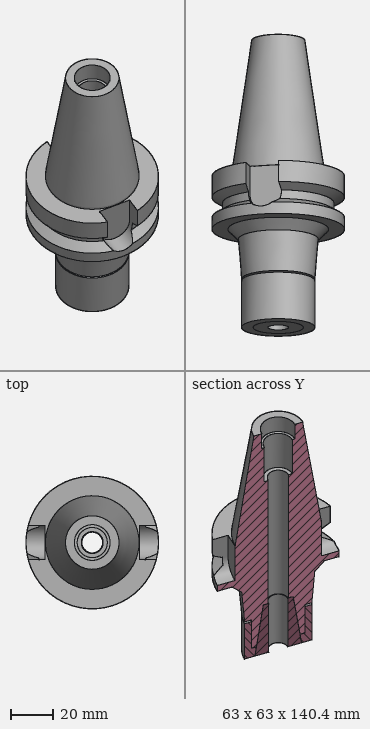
import cadquery as cq
import math


TOTAL_HEIGHT = 140.4
GAUGE_Z = 75.0
FLANGE_TOP_Z = 74.0
FLANGE_BOTTOM_Z = 48.0

GAUGE_RADIUS = 44.5 / 2
TAPER_RATIO = 7 / 24
SHANK_END_RADIUS = GAUGE_RADIUS - (TOTAL_HEIGHT - GAUGE_Z) * TAPER_RATIO / 2

FLANGE_RADIUS = 63.0 / 2
GROOVE_RADIUS = 53.1 / 2
GROOVE_FLOOR_TOP_Z = 60.8
GROOVE_FLOOR_BOTTOM_Z = 56.6
GROOVE_FLANK_ANGLE = 30.0
GROOVE_FLANK_HEIGHT = (FLANGE_RADIUS - GROOVE_RADIUS) * math.tan(math.radians(GROOVE_FLANK_ANGLE))

SLOT_WIDTH = 16.1
SLOT_FLOOR_DISTANCE = 22.5
SLOT_BOTTOM_Z = 52.0

FLARE_SIZE = 4.9
BODY_TOP_RADIUS = 38.0 / 2
BODY_TOP_Z = FLANGE_BOTTOM_Z - FLARE_SIZE
BODY_BOTTOM_Z = 23.6

NUT_RADIUS = 35.0 / 2
NUT_HEIGHT = 22.7
NUT_FACE_THICKNESS = 5.6
NOSE_RADIUS = 13.9

COLLET_HEIGHT = 30.9
COLLET_FACE_RADIUS = 12.0
COLLET_HALF_ANGLE = 8.0
COLLET_BORE_RADIUS = 4.9
COLLET_END_RADIUS = COLLET_FACE_RADIUS - COLLET_HEIGHT * math.tan(math.radians(COLLET_HALF_ANGLE))

COUNTERBORE_RADIUS = 17.0 / 2
COUNTERBORE_DEPTH = 9.3
PULL_STUD_RADIUS = 14.3 / 2
PULL_STUD_DEPTH = 30.9
THROUGH_RADIUS = 5.2


def revolve_profile(points):
    """Solid of revolution about Z from (radius, height) points."""
    return cq.Workplane("XZ").polyline(points).close().revolve(360, (0, 0, 0), (0, 1, 0))


def make_cylinder(radius, bottom_z, top_z):
    """Cylinder on the Z axis between two heights."""
    return cq.Workplane("XY").workplane(offset=bottom_z).circle(radius).extrude(top_z - bottom_z)


def make_collet_cone():
    """Outer cone of the collet, also the seat that holder and nut have for it."""
    return revolve_profile([
        (0, 0),
        (COLLET_FACE_RADIUS, 0),
        (COLLET_END_RADIUS, COLLET_HEIGHT),
        (0, COLLET_HEIGHT),
    ])


def make_drive_slot(side):
    """Cutter for a round-bottomed slot; side is -1 for -X and +1 for +X."""
    center_z = SLOT_BOTTOM_Z + SLOT_WIDTH / 2
    half_width = SLOT_WIDTH / 2
    return (
        cq.Workplane("YZ")
        .workplane(offset=side * SLOT_FLOOR_DISTANCE)
        .moveTo(-half_width, FLANGE_TOP_Z)
        .lineTo(-half_width, center_z)
        .threePointArc((0, SLOT_BOTTOM_Z), (half_width, center_z))
        .lineTo(half_width, FLANGE_TOP_Z)
        .close()
        .extrude(side * (FLANGE_RADIUS - SLOT_FLOOR_DISTANCE))
    )


def make_holder():
    """Shank, flange, body and nose, with the stepped bore and the collet seat."""
    holder = revolve_profile([
        (0, NUT_FACE_THICKNESS),
        (NOSE_RADIUS, NUT_FACE_THICKNESS),
        (NOSE_RADIUS, BODY_BOTTOM_Z),
        (NUT_RADIUS, BODY_BOTTOM_Z),
        (BODY_TOP_RADIUS, BODY_TOP_Z),
        (BODY_TOP_RADIUS + FLARE_SIZE, FLANGE_BOTTOM_Z),
        (FLANGE_RADIUS, FLANGE_BOTTOM_Z),
        (FLANGE_RADIUS, GROOVE_FLOOR_BOTTOM_Z - GROOVE_FLANK_HEIGHT),
        (GROOVE_RADIUS, GROOVE_FLOOR_BOTTOM_Z),
        (GROOVE_RADIUS, GROOVE_FLOOR_TOP_Z),
        (FLANGE_RADIUS, GROOVE_FLOOR_TOP_Z + GROOVE_FLANK_HEIGHT),
        (FLANGE_RADIUS, FLANGE_TOP_Z),
        (GAUGE_RADIUS, FLANGE_TOP_Z),
        (GAUGE_RADIUS, GAUGE_Z),
        (SHANK_END_RADIUS, TOTAL_HEIGHT),
        (0, TOTAL_HEIGHT),
    ])
    for side in (-1, 1):
        holder = holder.cut(make_drive_slot(side))
    counterbore = make_cylinder(COUNTERBORE_RADIUS, TOTAL_HEIGHT - COUNTERBORE_DEPTH, TOTAL_HEIGHT)
    pull_stud_bore = make_cylinder(PULL_STUD_RADIUS, TOTAL_HEIGHT - PULL_STUD_DEPTH, TOTAL_HEIGHT)
    through_bore = make_cylinder(THROUGH_RADIUS, 0, TOTAL_HEIGHT)
    return holder.cut(counterbore).cut(pull_stud_bore).cut(through_bore).cut(make_collet_cone())


def make_nut():
    """Plain round nut with a recess for the holder nose and a conical mouth."""
    nut = make_cylinder(NUT_RADIUS, 0, NUT_HEIGHT)
    nose_recess = make_cylinder(NOSE_RADIUS, NUT_FACE_THICKNESS, NUT_HEIGHT)
    return nut.cut(nose_recess).cut(make_collet_cone())


def make_collet():
    """Conical sleeve seated in the holder and the nut."""
    return make_collet_cone().cut(make_cylinder(COLLET_BORE_RADIUS, 0, COLLET_HEIGHT))


holder = make_holder()
nut = make_nut()
collet = make_collet()

result = cq.Compound.makeCompound([holder.val(), nut.val(), collet.val()])